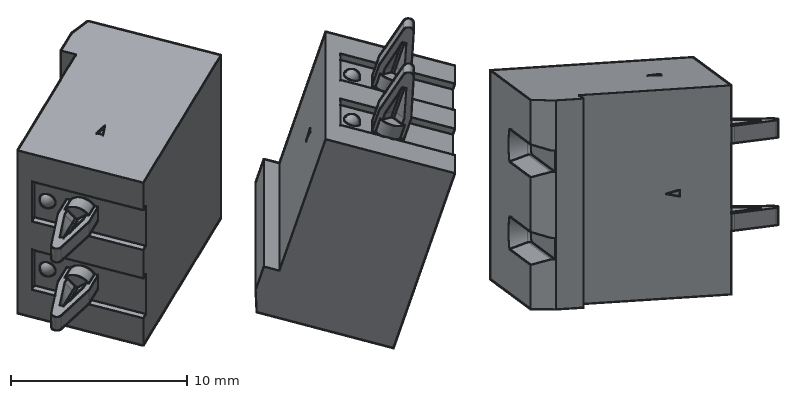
import cadquery as cq


body_width = 7.68
body_depth = 12.0
body_height = 12.16
lip_overhang = 0.92
lip_depth = 2.99
lip_bevel_x = 0.48
lip_bevel_y = 1.35
body_right = 3.86
body_left = body_right - body_width
lip_left = body_left - lip_overhang

pole_pitch = 5.09
pole_heights = (-pole_pitch / 2, pole_pitch / 2)

pocket_left = -2.94
pocket_height = 2.97
pocket_depth = 0.4
dome_x = -2.13
dome_radius = 0.5

pin_length = 3.9
pin_half_width = 0.95
pin_thickness = 1.02
pin_shoulder = 1.02
tip_half_width = 0.3
tip_rise = 0.22
collar_radius = 0.89
collar_length = 0.51

window_half_width = 0.57
window_shoulder = 0.92
window_end = 2.85
window_end_half_width = 0.11
web_half_width = 0.08
web_thickness = 0.1

slot_mouth_half_height = 0.95
slot_half_height = 0.62
funnel_depth = 1.1
slot_end_bulge = 0.2
slot_depth = 1.3

mark_base_y = 3.05
mark_length = 0.8
mark_half_width = 0.19
mark_depth = 0.1


def make_housing():
    """Block with a bevelled lip along its rear left edge."""
    lip_front = body_depth - lip_depth
    return (
        cq.Workplane("XY")
        .workplane(offset=-body_height / 2)
        .moveTo(body_left, 0)
        .lineTo(body_right, 0)
        .lineTo(body_right, body_depth)
        .lineTo(lip_left + lip_bevel_x, body_depth)
        .lineTo(lip_left, body_depth - lip_bevel_y)
        .lineTo(lip_left, lip_front)
        .lineTo(body_left, lip_front)
        .close()
        .extrude(body_height)
    )


def make_pocket():
    """Shallow front recess, open to the right side."""
    return cq.Workplane("XY").box(
        body_right - pocket_left, pocket_depth, pocket_height, centered=(False, False, True)
    ).translate((pocket_left, 0, 0))


def make_dome():
    """Ball set in the pocket floor, its crown flush with the front face."""
    return cq.Workplane("XY").sphere(dome_radius).translate((dome_x, dome_radius, 0))


def slot_outline(y, half_height):
    """Wire in the plane at y: bulged end near the pin axis, open past the lip to the left."""
    far_left = lip_left - lip_overhang
    return (
        cq.Workplane("XZ", origin=(0, y, 0))
        .moveTo(far_left, -half_height)
        .lineTo(0, -half_height)
        .threePointArc((slot_end_bulge * half_height, 0), (0, half_height))
        .lineTo(far_left, half_height)
        .close()
        .wires()
        .val()
    )


def make_mating_slot():
    """Funnel narrowing from the rear face into a short straight slot."""
    funnel_end = body_depth - funnel_depth
    mouth = slot_outline(body_depth, slot_mouth_half_height)
    throat = slot_outline(funnel_end, slot_half_height)
    floor = slot_outline(body_depth - slot_depth, slot_half_height)
    funnel = cq.Workplane(cq.Solid.makeLoft([mouth, throat], True))
    return funnel.union(cq.Workplane(cq.Solid.makeLoft([throat, floor], True)))


def window_outline(z, half_width, end_half_width):
    """Six-sided wire at height z, from the collar towards the pin tip."""
    points = [
        (-half_width, -collar_length),
        (half_width, -collar_length),
        (half_width, -window_shoulder),
        (end_half_width, -window_end),
        (-end_half_width, -window_end),
        (-half_width, -window_shoulder),
    ]
    return cq.Workplane("XY", origin=(0, 0, z)).polyline(points).close().wires().val()


def make_window():
    """Pair of recesses whose walls slope in from the pin faces to the web."""
    web = window_outline(web_thickness / 2, web_half_width, web_half_width)
    face = window_outline(pin_thickness / 2, window_half_width, window_end_half_width)
    upper = cq.Workplane(cq.Solid.makeLoft([web, face], True))
    return upper.union(upper.mirror("XY"))


def make_pin():
    """Flat arrow-shaped pin with a round collar, rising from the pocket floor."""
    tip_start = tip_rise - pin_length
    blade = (
        cq.Workplane("XY")
        .moveTo(-pin_half_width, pocket_depth)
        .lineTo(-pin_half_width, -pin_shoulder)
        .lineTo(-tip_half_width, tip_start)
        .threePointArc((0, -pin_length), (tip_half_width, tip_start))
        .lineTo(pin_half_width, -pin_shoulder)
        .lineTo(pin_half_width, pocket_depth)
        .close()
        .extrude(pin_thickness / 2, both=True)
    )
    collar = (
        cq.Workplane("XZ", origin=(0, pocket_depth, 0))
        .circle(collar_radius)
        .extrude(pocket_depth + collar_length)
    )
    return blade.cut(make_window()).union(collar)


def make_mark(plane, plane_offset):
    """Triangular prism pointing to the rear, drawn on a plane whose second axis runs along Y."""
    tip_y = mark_base_y + mark_length
    return (
        cq.Workplane(plane)
        .polyline([(-mark_half_width, mark_base_y), (mark_half_width, mark_base_y), (0, tip_y)])
        .close()
        .extrude(mark_depth)
        .translate(plane_offset)
    )


result = make_housing()

for pole_z in pole_heights:
    shift = (0, 0, pole_z)
    result = result.cut(make_pocket().translate(shift))
    result = result.cut(make_mating_slot().translate(shift))
    result = result.union(make_dome().translate(shift))
    result = result.union(make_pin().translate(shift))

left_plane = cq.Plane((0, 0, 0), xDir=(0, 0, -1), normal=(1, 0, 0))
top_mark = make_mark("XY", (0, 0, body_height / 2 - mark_depth))
side_mark = make_mark(left_plane, (body_left, 0, 0))
result = result.cut(top_mark).cut(side_mark)